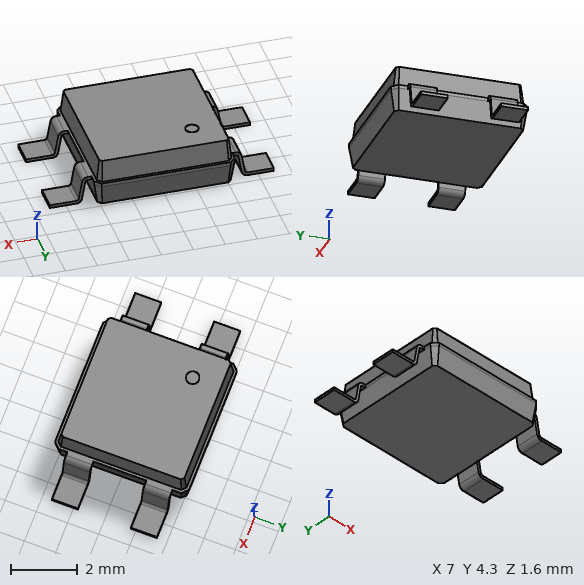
import cadquery as cq
import math

LEAD_SPAN = 7.0
TOTAL_HEIGHT = 1.6

RIM_LENGTH = 4.395
RIM_WIDTH = 4.3
RIM_CORNER = 0.18
BODY_BOTTOM = 0.105
RIM_TOP = 0.9
BASE_INSET = 0.11
UPPER_STEP = 0.09
TOP_INSET = 0.175

LEAD_THICKNESS = 0.105
LEAD_WIDTH = 0.84
LEAD_PITCH = 2.535
LEAD_ROOT = 1.96
SHOULDER_X = 2.3
INNER_BEND = 0.09
OUTER_BEND = INNER_BEND + LEAD_THICKNESS
LEG_LEAN = math.radians(10)
RIM_BOTTOM = RIM_TOP - LEAD_THICKNESS

MARK_X = -1.12
MARK_Y = 1.07
MARK_DIAMETER = 0.405
MARK_DEPTH = 0.015


def body_outline(inset):
    """Points of the rim rectangle with cut corners, offset inward by inset."""
    x = RIM_LENGTH / 2 - inset
    y = RIM_WIDTH / 2 - inset
    cut = RIM_CORNER - (2 - math.sqrt(2)) * inset
    return [
        (x, y - cut), (x - cut, y), (cut - x, y), (-x, y - cut),
        (-x, cut - y), (cut - x, -y), (x - cut, -y), (x, cut - y),
    ]


def body_layer(bottom, top, bottom_inset, top_inset):
    """Body slice between two heights, tapering from one inset to the other."""
    return (
        cq.Workplane("XY", origin=(0, 0, bottom))
        .polyline(body_outline(bottom_inset)).close()
        .workplane(offset=top - bottom)
        .polyline(body_outline(top_inset)).close()
        .loft(ruled=True)
    )


def make_body():
    lower = body_layer(BODY_BOTTOM, RIM_BOTTOM, BASE_INSET, 0)
    rim = body_layer(RIM_BOTTOM, RIM_TOP, 0, 0)
    upper = body_layer(RIM_TOP, TOTAL_HEIGHT, UPPER_STEP, TOP_INSET)
    return lower.union(rim).union(upper)


def make_lead():
    """Lead on the +X side, centred on Y = 0, with two concentric bends."""
    shoulder_z = RIM_TOP - OUTER_BEND
    foot_z = OUTER_BEND
    across = OUTER_BEND + INNER_BEND
    leg = (shoulder_z - foot_z + across * math.sin(LEG_LEAN)) / math.cos(LEG_LEAN)
    foot_x = SHOULDER_X + across * math.cos(LEG_LEAN) + leg * math.sin(LEG_LEAN)
    mid_angle = (LEG_LEAN + math.pi / 2) / 2

    def shoulder(radius, angle):
        return (SHOULDER_X + radius * math.cos(angle), shoulder_z + radius * math.sin(angle))

    def foot(radius, angle):
        return (foot_x - radius * math.cos(angle), foot_z - radius * math.sin(angle))

    return (
        cq.Workplane("XZ")
        .moveTo(LEAD_ROOT, RIM_TOP)
        .lineTo(SHOULDER_X, RIM_TOP)
        .threePointArc(shoulder(OUTER_BEND, mid_angle), shoulder(OUTER_BEND, LEG_LEAN))
        .lineTo(*foot(INNER_BEND, LEG_LEAN))
        .threePointArc(foot(INNER_BEND, mid_angle), (foot_x, LEAD_THICKNESS))
        .lineTo(LEAD_SPAN / 2, LEAD_THICKNESS)
        .lineTo(LEAD_SPAN / 2, 0)
        .lineTo(foot_x, 0)
        .threePointArc(foot(OUTER_BEND, mid_angle), foot(OUTER_BEND, LEG_LEAN))
        .lineTo(*shoulder(INNER_BEND, LEG_LEAN))
        .threePointArc(shoulder(INNER_BEND, mid_angle), (SHOULDER_X, RIM_BOTTOM))
        .lineTo(LEAD_ROOT, RIM_BOTTOM)
        .close()
        .extrude(LEAD_WIDTH / 2, both=True)
    )


def make_mark():
    return (
        cq.Workplane("XY", origin=(MARK_X, MARK_Y, TOTAL_HEIGHT - MARK_DEPTH))
        .circle(MARK_DIAMETER / 2)
        .extrude(MARK_DEPTH)
    )


result = make_body().cut(make_mark())
right_lead = make_lead()
for lead in (right_lead, right_lead.mirror("YZ")):
    for y in (-LEAD_PITCH / 2, LEAD_PITCH / 2):
        result = result.union(lead.translate((0, y, 0)))